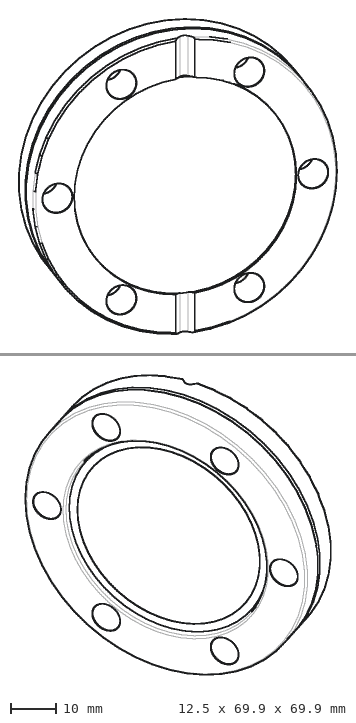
import cadquery as cq
import math

thickness = 12.5
outer_diameter = 69.9
edge_fillet = 0.5
rim_groove_depth = 0.5

bolt_count = 6
bolt_hole_diameter = 6.8
bolt_hole_chamfer = 0.105
bolt_circle_diameter = 58.7

bore_diameter = 49.9
bore_fillet = 0.5
lip_diameter = 51.0
lip_thickness = 3.5

disc_diameter = 49.2
disc_back = 1.55
disc_front_recess = 0.8
back_recess_diameter = 45.2
back_recess_depth = 0.105

test_groove_width = 4.3
test_groove_bottom_radius = 1.3

disc_front = thickness - disc_front_recess
lip_back = disc_front - lip_thickness


def cylinder(diameter, start, end):
    """Cylinder about the X axis between two X positions."""
    return cq.Workplane("YZ", origin=(start, 0, 0)).circle(diameter / 2).extrude(end - start)


def rim_groove():
    """V-shaped groove around the middle of the rim."""
    radius = outer_diameter / 2
    middle = thickness / 2
    profile = (
        cq.Workplane("XY")
        .moveTo(middle - rim_groove_depth, radius)
        .lineTo(middle, radius - rim_groove_depth)
        .lineTo(middle + rim_groove_depth, radius)
        .close()
    )
    return profile.revolve(360, (0, 0, 0), (1, 0, 0))


def bolt_hole():
    """Cutter for one bolt hole on the X axis, flared at both faces to break the hole edges."""
    radius = bolt_hole_diameter / 2
    mouth_radius = radius + bolt_hole_chamfer
    profile = (
        cq.Workplane("XY")
        .lineTo(0, mouth_radius)
        .lineTo(bolt_hole_chamfer, radius)
        .lineTo(thickness - bolt_hole_chamfer, radius)
        .lineTo(thickness, mouth_radius)
        .lineTo(thickness, 0)
        .close()
    )
    return profile.revolve(360, (0, 0, 0), (1, 0, 0))


def test_groove():
    """Groove along Z that crosses the whole front face at Y = 0."""
    half_width = test_groove_width / 2
    radius = test_groove_bottom_radius
    tangent_offset = radius * math.sin(math.radians(45))
    tangent_x = thickness - (half_width - tangent_offset)
    bottom_x = tangent_x - (radius - tangent_offset)
    return (
        cq.Workplane("XY", origin=(0, 0, -outer_diameter / 2))
        .moveTo(thickness, -half_width)
        .lineTo(tangent_x, -tangent_offset)
        .threePointArc((bottom_x, 0), (tangent_x, tangent_offset))
        .lineTo(thickness, half_width)
        .close()
        .extrude(outer_diameter)
    )


def make_ring():
    ring = cylinder(outer_diameter, 0, thickness).edges().fillet(edge_fillet)
    ring = ring.cut(rim_groove())
    ring = ring.cut(cylinder(bore_diameter, 0, thickness))
    bore_edge = cq.selectors.RadiusNthSelector(0)
    ring = ring.faces("<X").edges(bore_edge).fillet(bore_fillet)
    ring = ring.cut(cylinder(lip_diameter, lip_back, thickness))
    for index in range(bolt_count):
        angle = index * 360 / bolt_count
        hole = bolt_hole().translate((0, bolt_circle_diameter / 2, 0))
        ring = ring.cut(hole.rotate((0, 0, 0), (1, 0, 0), angle))
    return ring.cut(test_groove())


def make_blank_disc():
    """Disc with a clearance around its hub and a lip seated in the ring's counterbore."""
    hub = cylinder(disc_diameter, disc_back, disc_front)
    lip = cylinder(lip_diameter, lip_back, disc_front)
    back_recess = cylinder(back_recess_diameter, disc_back, disc_back + back_recess_depth)
    return hub.union(lip).cut(back_recess)


ring = make_ring()
blank_disc = make_blank_disc()

result = cq.Compound.makeCompound([ring.val(), blank_disc.val()])